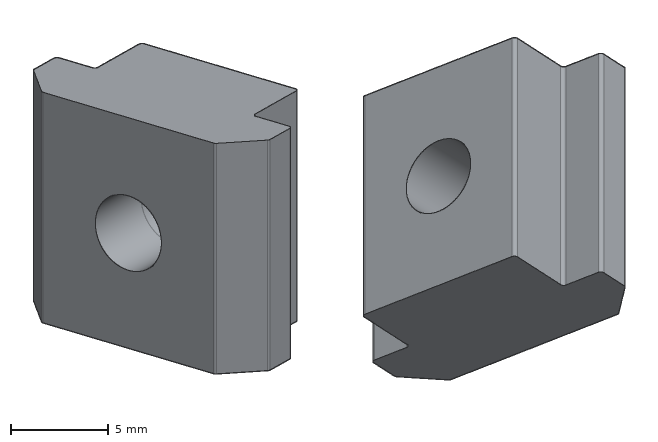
import cadquery as cq

length = 13.0
flange_width = 15.0
flange_height = 4.0
neck_width = 10.0
neck_height = 4.0
bevel = 2.0
edge_radius = 0.2
hole_diameter = 4.2

total_height = flange_height + neck_height
front_y = -total_height / 2
shoulder_y = front_y + flange_height
back_y = total_height / 2
half_flange = flange_width / 2
half_neck = neck_width / 2


def make_body():
    """T-shaped profile extruded along Z, with all its corners rounded."""
    right_half = [
        (half_flange - bevel, front_y),
        (half_flange, front_y + bevel),
        (half_flange, shoulder_y),
        (half_neck, shoulder_y),
        (half_neck, back_y),
    ]
    left_half = [(-x, y) for x, y in reversed(right_half)]
    body = (
        cq.Workplane("XY")
        .workplane(offset=-length / 2)
        .polyline(right_half + left_half)
        .close()
        .extrude(length)
    )
    return body.edges("|Z").fillet(edge_radius)


def make_hole():
    """Cylinder along Y through the centre of the part."""
    return (
        cq.Workplane("XZ")
        .circle(hole_diameter / 2)
        .extrude(total_height, both=True)
    )


result = make_body().cut(make_hole())